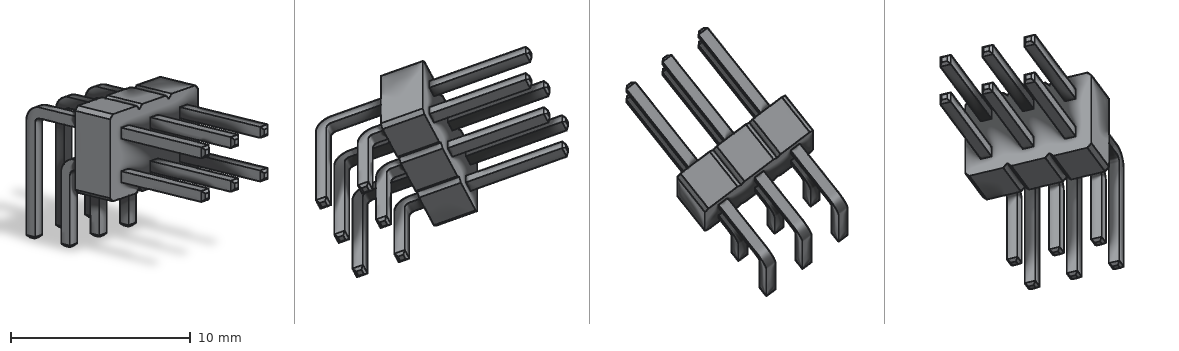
import cadquery as cq


pitch = 2.54
columns = 3
rows = 2
overall_length = 12.9
overall_height = 8.72
contact_length = 6.0
pin_width = 0.65
notch = 0.25

block_depth = pitch
block_width = columns * pitch
block_height = rows * pitch
tip_chamfer = pin_width / 4
inner_bend = pin_width / 2
outer_bend = inner_bend + pin_width
contact_tip_x = block_depth + contact_length
outer_leg_x = contact_tip_x - overall_length
solder_tip_z = block_height / 2 - overall_height


def centred_positions(count):
    """Positions of evenly pitched items, centred on zero."""
    return [(i - (count - 1) / 2) * pitch for i in range(count)]


def make_block():
    """Block of one chamfered cell per column, leaving V-notches between cells."""
    block = cq.Workplane("XY")
    for y in centred_positions(columns):
        cell = (
            cq.Workplane("XY")
            .box(block_depth, pitch, block_height)
            .edges("|X")
            .chamfer(notch)
            .translate((block_depth / 2, y, 0))
        )
        block = block.union(cell)
    return block


def make_pin(leg_x, arm_z, y):
    """Bent square pin with its leg's -X face at leg_x and its arm centred on arm_z."""
    arm_top = arm_z + pin_width / 2
    bend_x = leg_x + outer_bend
    bend_z = arm_top - outer_bend
    return (
        cq.Workplane("XZ", origin=(0, y, 0))
        .moveTo(leg_x, solder_tip_z)
        .lineTo(leg_x, bend_z)
        .radiusArc((bend_x, arm_top), outer_bend)
        .lineTo(contact_tip_x, arm_top)
        .lineTo(contact_tip_x, arm_top - pin_width)
        .lineTo(bend_x, arm_top - pin_width)
        .radiusArc((leg_x + pin_width, bend_z), -inner_bend)
        .lineTo(leg_x + pin_width, solder_tip_z)
        .close()
        .extrude(pin_width / 2, both=True)
        .faces(">X or <Z")
        .chamfer(tip_chamfer)
    )


result = make_block()
for row, arm_z in enumerate(reversed(centred_positions(rows))):
    leg_x = outer_leg_x + row * pitch
    for y in centred_positions(columns):
        result = result.union(make_pin(leg_x, arm_z, y))